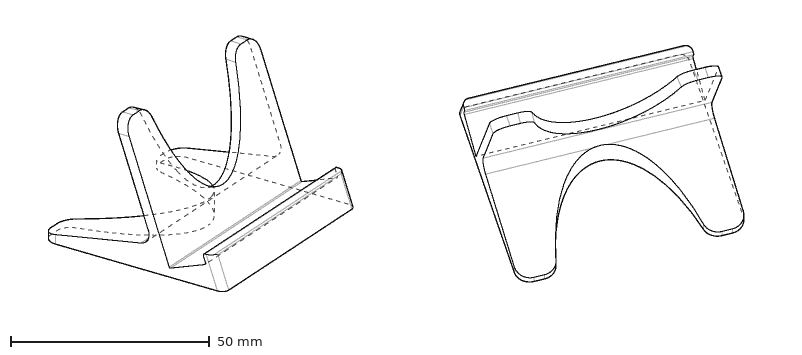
import cadquery as cq
import math

length = 55.0
width = 60.0
height = 40.1

lean = 20.0
base_slope = 10.0
wall = 3.0
foot_thickness = 2.0
backrest_front_x = 21.6
lip_height = 9.35
seat_z = 2.5
inner_radius = 3.0
lip_radius = 0.5
lip_corner_radius = 2.0
seat_radius = 0.3
prong_radius = 4.0

recess_depth = 30.0
recess_half_length = 48.0
recess_half_width = 21.5

lean_run = math.tan(math.radians(lean))
slope_run = math.tan(math.radians(base_slope))
wall_run = wall / math.cos(math.radians(lean))
backrest_rear_x = backrest_front_x + wall_run


def leaning_x(top_x, top_z, z):
    """X at height z on a leaning face that passes through (top_x, top_z)."""
    return top_x + (top_z - z) * lean_run


inner_x = leaning_x(backrest_front_x, height, foot_thickness) / (1 + lean_run * slope_run)
inner_z = foot_thickness + inner_x * slope_run
seat_x = leaning_x(backrest_rear_x, height, seat_z)
lip_foot_x = length - wall_run
lip_inner_x = (lip_foot_x - lean_run * (seat_z - seat_x * lean_run)) / (1 + lean_run**2)
lip_inner_z = seat_z + (lip_inner_x - seat_x) * lean_run
lip_top_inner_x = leaning_x(lip_foot_x, 0, lip_height)
lip_top_outer_x = leaning_x(length, 0, lip_height)


def edge_near(body, x, y, z):
    """The edge of the body nearest to a point."""
    return body.edges(cq.selectors.NearestToPointSelector((x, y, z)))


def make_body():
    """Extruded side profile with the roundings that run along its width."""
    body = (
        cq.Workplane("XZ")
        .polyline([
            (0, 0),
            (length, 0),
            (lip_top_outer_x, lip_height),
            (lip_top_inner_x, lip_height),
            (lip_inner_x, lip_inner_z),
            (seat_x, seat_z),
            (backrest_rear_x, height),
            (backrest_front_x, height),
            (inner_x, inner_z),
            (0, foot_thickness),
        ])
        .close()
        .extrude(width / 2, both=True)
    )
    for x, z, radius in (
        (inner_x, inner_z, inner_radius),
        (seat_x, seat_z, seat_radius),
        (lip_inner_x, lip_inner_z, lip_radius),
        (lip_top_inner_x, lip_height, lip_radius),
        (lip_top_outer_x, lip_height, lip_radius),
    ):
        body = edge_near(body, x, 0, z).fillet(radius)
    return body


def round_lip_corners(body):
    """Trim the body with a leaning block whose edges round the ends of the lip's outer face."""
    angle = math.radians(lean)
    plane = cq.Plane(
        origin=(length, 0, 0),
        xDir=(-math.cos(angle), 0, -math.sin(angle)),
        normal=(-math.sin(angle), 0, math.cos(angle)),
    )
    block_depth = 2 * length
    block = (
        cq.Workplane(plane)
        .center(block_depth / 2, 0)
        .rect(block_depth, width)
        .extrude(block_depth, both=True)
        .edges(cq.selectors.ParallelDirSelector(plane.zDir))
        .fillet(lip_corner_radius)
    )
    return body.intersect(block)


def recess_cutter(plane):
    """Elliptical cylinder; plane origin at the prong ends, local X toward the recess floor."""
    return (
        cq.Workplane(plane)
        .center(recess_depth - recess_half_length, 0)
        .ellipse(recess_half_length, recess_half_width)
        .extrude(inner_z)
    )


def backrest_cutter():
    """Recess cutter square to the backrest, starting on its front face."""
    angle = math.radians(lean)
    plane = cq.Plane(
        origin=(backrest_front_x, 0, height),
        xDir=(math.sin(angle), 0, -math.cos(angle)),
        normal=(math.cos(angle), 0, math.sin(angle)),
    )
    return recess_cutter(plane)


def round_prongs(body):
    """Round the four corners of the foot's end and of the backrest's top."""
    body = body.faces("<X").edges("not |Y").fillet(prong_radius)
    top_edges = body.faces(">Z").edges("not |Y")
    return top_edges.fillet(prong_radius)


body = make_body()
body = body.cut(recess_cutter(cq.Plane.XY()))
body = body.cut(backrest_cutter())
body = round_prongs(body)
result = round_lip_corners(body)